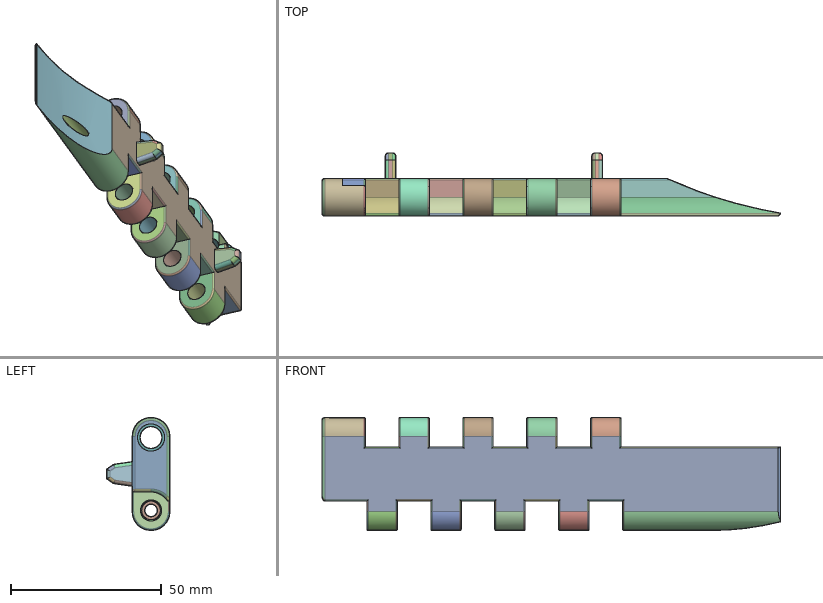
import cadquery as cq
import math

LENGTH = 152.32
THICKNESS = 12.5
HEIGHT = 37.5
ROUND_RADIUS = THICKNESS / 2
AXIS_Y = THICKNESS / 2
LOWER_AXIS_Z = ROUND_RADIUS
UPPER_AXIS_Z = HEIGHT - ROUND_RADIUS

UPPER_KNUCKLES = 5
FIRST_BOUNDARY_X = 14.7
KNUCKLE_STEP = 10.61
AXIAL_GAP = 0.5
RADIAL_GAP = 0.25
CLEARANCE_RADIUS = ROUND_RADIUS + RADIAL_GAP

UPPER_HOLE_DIAMETER = 7.2
UPPER_BORE_DIAMETER = 9.0
UPPER_BORE_DEPTH = 2.0
LOWER_HOLE_DIAMETER = 4.1
LOWER_BORE_DIAMETER = 6.2
LOWER_BORE_CHAMFER = 0.4
HOLE_SHIFT = 0.4
UPPER_HOLE_Z = UPPER_AXIS_Z - HOLE_SHIFT
LOWER_HOLE_Z = LOWER_AXIS_Z + HOLE_SHIFT

EDGE_FILLET = 0.5
END_FILLET = 1.0

TAPER_START_X = 114.6
TAPER_MID = (130.6, 6.3)
TIP_THICKNESS = 1.0
TIP_BEVEL = 0.8

NOTCH_START_X = 6.8
NOTCH_FLOOR_Z = UPPER_AXIS_Z
NOTCH_FRONT_Y = 10.1

TAB_X = (22.8, 91.4)
TAB_WIDTH = 3.6
TAB_LENGTH = 8.5
TAB_ROOT_HALF = 4.1
TAB_SHOULDER_LENGTH = 6.2
TAB_SHOULDER_HALF = 3.2
TAB_END_HALF = 1.6
TAB_FILLET = 1.2

OVERCUT = 1.0
TOLERANCE = 0.01


def boundary_x(index):
    """X of the middle of the gap between neighbouring upper and lower knuckles."""
    return FIRST_BOUNDARY_X + index * KNUCKLE_STEP


UPPER_KNUCKLES_END_X = boundary_x(2 * UPPER_KNUCKLES - 1)
BLADE_START_X = boundary_x(2 * UPPER_KNUCKLES - 2)


def leaf():
    """Uncut bar."""
    return (
        cq.Workplane("YZ")
        .center(AXIS_Y, HEIGHT / 2)
        .slot2D(HEIGHT, THICKNESS, 90)
        .extrude(LENGTH)
    )


def slot(x_start, x_end, axis_z, outward):
    """Clearance for a mating knuckle: round in front of the axis, square behind it."""
    outer_z = axis_z + outward * (ROUND_RADIUS + OVERCUT)
    floor_z = axis_z - outward * CLEARANCE_RADIUS
    front_y = AXIS_Y - CLEARANCE_RADIUS
    diagonal = CLEARANCE_RADIUS * math.sqrt(0.5)
    return (
        cq.Workplane("YZ", origin=(x_start, 0, 0))
        .moveTo(front_y, outer_z)
        .lineTo(front_y, axis_z)
        .threePointArc((AXIS_Y - diagonal, axis_z - outward * diagonal), (AXIS_Y, floor_z))
        .lineTo(THICKNESS + OVERCUT, floor_z)
        .lineTo(THICKNESS + OVERCUT, outer_z)
        .close()
        .extrude(x_end - x_start)
    )


def upper_slots():
    """(start, end) of the clearances cut into the upper edge; the last one runs out the tip."""
    spans = []
    for index in range(UPPER_KNUCKLES):
        start = boundary_x(2 * index) - AXIAL_GAP / 2
        end = boundary_x(2 * index + 1) + AXIAL_GAP / 2
        spans.append((start, end))
    spans[-1] = (spans[-1][0], LENGTH + OVERCUT)
    return spans


def lower_slots():
    """(start, end) of the clearances cut into the lower edge; the first one is open at the left end."""
    spans = [(-OVERCUT, boundary_x(0) + AXIAL_GAP / 2)]
    for index in range(1, UPPER_KNUCKLES):
        start = boundary_x(2 * index - 1) - AXIAL_GAP / 2
        end = boundary_x(2 * index) + AXIAL_GAP / 2
        spans.append((start, end))
    return spans


def taper_cut():
    """Material removed behind the curved taper of the blade."""
    return (
        cq.Workplane("XY", origin=(0, 0, -OVERCUT))
        .moveTo(TAPER_START_X, THICKNESS)
        .threePointArc(TAPER_MID, (LENGTH, TIP_THICKNESS))
        .lineTo(LENGTH + OVERCUT, TIP_THICKNESS)
        .lineTo(LENGTH + OVERCUT, THICKNESS + OVERCUT)
        .lineTo(TAPER_START_X, THICKNESS + OVERCUT)
        .close()
        .extrude(HEIGHT + 2 * OVERCUT)
    )


def tip_bevel():
    """Bevel along the front edge of the blade tip."""
    return (
        cq.Workplane("XY")
        .polyline([(LENGTH - TIP_BEVEL, 0), (LENGTH, 0), (LENGTH, TIP_BEVEL)])
        .close()
        .extrude(HEIGHT)
    )


def on_leaf_outline(point):
    """True where a point lies on the stadium outline of the uncut leaf."""
    beyond_axis = max(LOWER_AXIS_Z - point.z, point.z - UPPER_AXIS_Z, 0)
    return abs(math.hypot(point.y - AXIS_Y, beyond_axis) - ROUND_RADIUS) < TOLERANCE


def is_end_edge(edge):
    """True for an edge of the left end face."""
    return edge.BoundingBox().xmax < TOLERANCE


def is_exposed_edge(edge):
    """True for the outer edges of the knuckle sides and the lips of the slot floors."""
    box = edge.BoundingBox()
    if box.xmax < TOLERANCE:
        return False
    points = (edge.startPoint(), edge.positionAt(0.5), edge.endPoint())
    if not all(on_leaf_outline(point) for point in points):
        return False
    across = box.xlen < TOLERANCE and box.xmax < TAPER_START_X
    lip = box.ylen < TOLERANCE and box.zlen < TOLERANCE
    on_flat = LOWER_AXIS_Z + TOLERANCE < edge.Center().z < UPPER_AXIS_Z - TOLERANCE
    return across or (lip and on_flat)


def pin_hole(diameter, axis_z, x_start, x_end):
    """Cylinder along X for a hinge pin."""
    return (
        cq.Workplane("YZ", origin=(x_start, AXIS_Y, axis_z))
        .circle(diameter / 2)
        .extrude(x_end - x_start)
    )


def upper_holes():
    """Hole through the upper knuckles, counterbored at the left end."""
    hole = pin_hole(UPPER_HOLE_DIAMETER, UPPER_HOLE_Z, 0, UPPER_KNUCKLES_END_X)
    return hole.union(pin_hole(UPPER_BORE_DIAMETER, UPPER_HOLE_Z, 0, UPPER_BORE_DEPTH))


def lower_holes():
    """Bore through the lower knuckles with a chamfered mouth, and a smaller hole through the blade."""
    first_face_x = boundary_x(0) + AXIAL_GAP / 2
    bore = pin_hole(LOWER_BORE_DIAMETER, LOWER_HOLE_Z, first_face_x, BLADE_START_X)
    hole = pin_hole(LOWER_HOLE_DIAMETER, LOWER_HOLE_Z, first_face_x, LENGTH)
    bore_radius = LOWER_BORE_DIAMETER / 2
    mouth = cq.Solid.makeCone(
        bore_radius + LOWER_BORE_CHAMFER,
        bore_radius,
        LOWER_BORE_CHAMFER,
        cq.Vector(first_face_x, AXIS_Y, LOWER_HOLE_Z),
        cq.Vector(1, 0, 0),
    )
    return bore.union(hole).union(cq.Workplane(mouth))


def notch():
    """Notch in the back of the first knuckle, with its two open floor edges rounded over."""
    end_x = boundary_x(0) - AXIAL_GAP / 2
    size_x = end_x - NOTCH_START_X
    size_y = THICKNESS - NOTCH_FRONT_Y
    rounding_z = NOTCH_FLOOR_Z - EDGE_FILLET
    corner = cq.Workplane("XY", origin=(NOTCH_START_X, NOTCH_FRONT_Y, rounding_z))
    opening = corner.box(size_x, size_y, HEIGHT - rounding_z, centered=False)
    floor = (
        corner.workplane(offset=-EDGE_FILLET)
        .box(size_x, size_y, 2 * EDGE_FILLET, centered=False)
        .edges(">Z and (>X or >Y)")
        .fillet(EDGE_FILLET)
    )
    return opening.cut(floor)


def tab(x):
    """Tapered locating tab standing on the back face, rounded along its two profiles."""
    shoulder_y = THICKNESS + TAB_SHOULDER_LENGTH
    end_y = THICKNESS + TAB_LENGTH
    half_profile = [(THICKNESS, TAB_ROOT_HALF), (shoulder_y, TAB_SHOULDER_HALF), (end_y, TAB_END_HALF)]
    mirrored = [(y, -z) for y, z in reversed(half_profile)]
    body = (
        cq.Workplane("YZ", origin=(x - TAB_WIDTH / 2, 0, HEIGHT / 2))
        .polyline(half_profile + mirrored)
        .close()
        .extrude(TAB_WIDTH)
    )
    return body.faces("<X or >X").edges("not <Y").fillet(TAB_FILLET)


def cut_leaf():
    """Leaf with its knuckle clearances and blade taper, edges still sharp."""
    body = leaf()
    for start, end in upper_slots():
        body = body.cut(slot(start, end, UPPER_AXIS_Z, 1))
    for start, end in lower_slots():
        body = body.cut(slot(start, end, LOWER_AXIS_Z, -1))
    return body.cut(taper_cut())


def rounded(solid):
    """Round the knuckle sides and slot lips, then the left end."""
    solid = solid.fillet(EDGE_FILLET, [edge for edge in solid.Edges() if is_exposed_edge(edge)])
    return solid.fillet(END_FILLET, [edge for edge in solid.Edges() if is_end_edge(edge)])


result = cq.Workplane(rounded(cut_leaf().val()))
for cutter in (tip_bevel(), notch(), upper_holes(), lower_holes()):
    result = result.cut(cutter)
for tab_x in TAB_X:
    result = result.union(tab(tab_x))